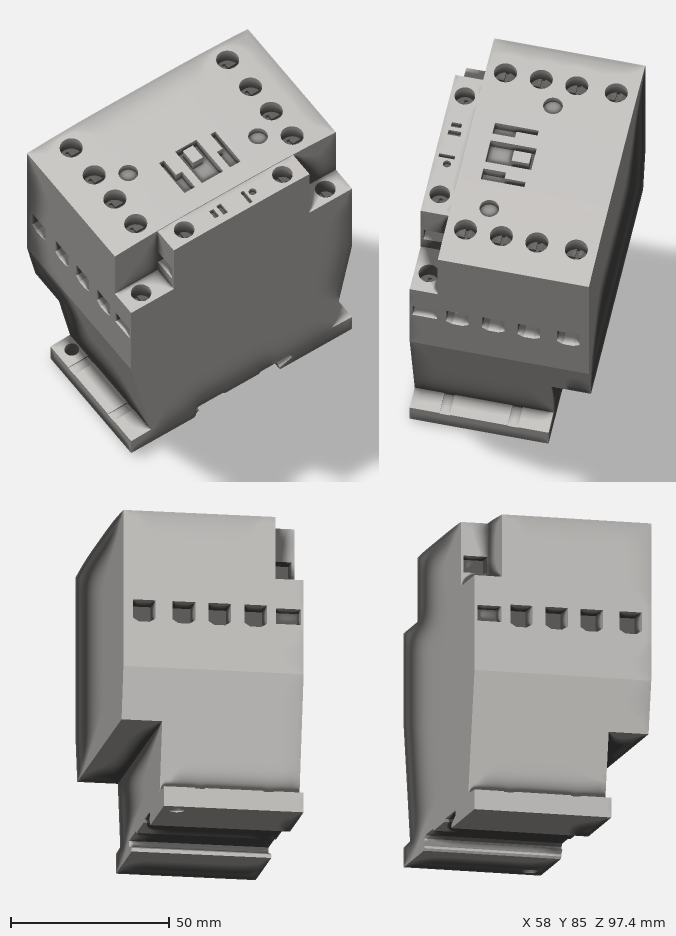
import cadquery as cq
import math


width = 58.0
length = 85.0
half_length = length / 2
height = 97.4
main_width = 48.9
roof_flat_half = 12.6
roof_drop = 1.2
aux_roof_z = height - 0.3

taper_top_z = 45.2
taper_foot_y = 35.0
flange_edge_z = 6.4
flange_root_z = 6.7
overhang_x = 13.1
overhang_z = 28.5

rail_slot_z = 4.7
rail_rear_y = 19.4
rail_hook_z = 2.9
rail_lip_y = 14.7
rail_lip_z = 1.2
rail_pad_root_half = 7.4
rail_pad_half = 6.5
rail_pad_z = 3.9
latch_corner_y = -16.3
latch_corner_z = 3.8
latch_wall_y = -17.6
latch_tooth_top_z = 3.2
latch_tooth_y = -16.4
latch_tooth_z = 2.7
latch_tooth_bottom_z = 1.5
latch_mouth_z = 0.7
latch_mouth_y = -18.3

aux_block_half = 26.1
shelf_z = 76.0
aux_screw_x = 53.3
aux_screw_d = 6.5
aux_screw_y = 18.9
shelf_screw_y = 35.5

pole_xs = (6.7, 19.5, 31.0, 42.6)
pole_screw_y = 30.1
pole_screw_d = 7.3
terminal_width = 7.3
terminal_top_z = 67.1
terminal_shoulder_z = 61.2
terminal_floor_z = 60.0
terminal_floor_width = 3.5
terminal_depth = 8.8

aux_terminal_x = 53.1
aux_terminal_width = 7.9
aux_terminal_depth = 5.8
block_terminal_zs = (80.55, 86.0)
shelf_terminal_zs = (61.3, 66.3)

screw_depth = 5.8
drive_depth = 1.0
drive_width = 1.1
pole_drive_arm = 5.2
aux_drive_arm = 4.2

dimple_d = 6.2
dimple_depth = 2.6
dimple_y = 20.9
dimple_rear_x = 36.8
dimple_front_x = 25.2
window_depth = 3.5
window_left_x = 26.9
window_right_x = 41.8
window_half = 4.1
button_xs = (28.05, 33.7)
button_half = 1.9
hook_left_x = 27.7
hook_step_x = 34.5
hook_inner_y = 6.7
hook_step_y = 9.0
hook_outer_y = 10.8

aux_mark_depth = 1.9
coil_hole_x = 53.5
coil_hole_y = 7.3
coil_hole_d = 2.5
aux_slots = (
    (51.5, 56.7, 3.9, 5.2),
    (51.5, 55.6, -5.4, -3.6),
    (51.9, 55.2, -8.4, -6.7),
)

groove_xs = (24.6, 46.7)
groove_width = 3.3
groove_floor_z = 6.1
mounting_hole_d = 4.7
mounting_hole_x = 18.0
mounting_hole_y = -37.7


def box(x0, x1, y0, y1, z0, z1):
    return cq.Workplane("XY").box(x1 - x0, y1 - y0, z1 - z0, centered=False).translate((x0, y0, z0))


def housing_section(roof_z, x0, x1):
    """Solid with the full side outline of the housing, over one span of X."""
    eave_z = roof_z - roof_drop
    roof_run = half_length - roof_flat_half
    roof_radius = (roof_run**2 + roof_drop**2) / (2 * roof_drop)
    half_angle = math.asin(roof_run / roof_radius) / 2
    front_roof_middle = (
        -roof_flat_half - roof_radius * math.sin(half_angle),
        roof_z - roof_radius * (1 - math.cos(half_angle)),
    )
    outline = (
        cq.Workplane("YZ", origin=(x0, 0, 0))
        .moveTo(-roof_flat_half, roof_z)
        .lineTo(roof_flat_half, roof_z)
        .tangentArcPoint((half_length, eave_z), relative=False)
        .lineTo(half_length, taper_top_z)
        .lineTo(taper_foot_y, flange_root_z)
        .lineTo(half_length, flange_edge_z)
        .lineTo(half_length, 0)
        .lineTo(-half_length, 0)
        .lineTo(-half_length, flange_edge_z)
        .lineTo(-taper_foot_y, flange_root_z)
        .lineTo(-half_length, taper_top_z)
        .lineTo(-half_length, eave_z)
        .threePointArc(front_roof_middle, (-roof_flat_half, roof_z))
        .close()
    )
    return outline.extrude(x1 - x0)


def rail_slot():
    """Slot for the mounting rail: a fixed hook at the rear and a latch at the front."""
    return (
        cq.Workplane("YZ")
        .moveTo(rail_lip_y, 0)
        .lineTo(rail_lip_y, rail_lip_z)
        .lineTo(rail_rear_y, rail_hook_z)
        .lineTo(rail_rear_y, rail_slot_z)
        .lineTo(rail_pad_root_half, rail_slot_z)
        .lineTo(rail_pad_half, rail_pad_z)
        .lineTo(-rail_pad_half, rail_pad_z)
        .lineTo(-rail_pad_root_half, rail_slot_z)
        .lineTo(latch_corner_y, rail_slot_z)
        .lineTo(latch_wall_y, latch_corner_z)
        .lineTo(latch_wall_y, latch_tooth_top_z)
        .lineTo(latch_tooth_y, latch_tooth_z)
        .lineTo(latch_wall_y, latch_tooth_bottom_z)
        .lineTo(latch_wall_y, latch_mouth_z)
        .lineTo(latch_mouth_y, 0)
        .close()
        .extrude(width)
    )


def housing():
    main = housing_section(height, 0, main_width)
    auxiliary = housing_section(aux_roof_z, main_width, width)
    body = main.union(auxiliary)
    body = body.cut(box(0, overhang_x, -half_length, half_length, 0, overhang_z))
    body = body.cut(rail_slot())
    for y0, y1 in ((-half_length, -aux_block_half), (aux_block_half, half_length)):
        body = body.cut(box(main_width, width, y0, y1, shelf_z, height))
    return body


def screw_well(x, y, roof_z, diameter, arm_x, arm_y):
    """Round well with a cross recess in the screw head at its floor."""
    head_z = roof_z - screw_depth
    drive_z = head_z - drive_depth
    well = cq.Workplane("XY", origin=(x, y, head_z)).circle(diameter / 2).extrude(height - head_z)
    drive_plane = cq.Workplane("XY", origin=(x, y, drive_z))
    bar_x = drive_plane.rect(arm_x, drive_width).extrude(drive_depth)
    bar_y = drive_plane.rect(drive_width, arm_y).extrude(drive_depth)
    head = drive_plane.circle(diameter / 2).extrude(drive_depth)
    return well.union(bar_x.union(bar_y).intersect(head))


def pole_screw(x, y):
    """The long bar of the cross runs along Y and spans the whole head."""
    return screw_well(x, y, height, pole_screw_d, pole_drive_arm, pole_screw_d)


def aux_screw(y, roof_z):
    """The long bar of the cross runs along X and spans the whole head."""
    return screw_well(aux_screw_x, y, roof_z, aux_screw_d, aux_screw_d, aux_drive_arm)


def pole_terminal(x):
    """Wire entry in the front wall, with a bevelled floor."""
    half = terminal_width / 2
    floor_half = terminal_floor_width / 2
    return (
        cq.Workplane("XZ", origin=(x, -half_length, 0))
        .moveTo(-half, terminal_top_z)
        .lineTo(half, terminal_top_z)
        .lineTo(half, terminal_shoulder_z)
        .lineTo(floor_half, terminal_floor_z)
        .lineTo(-floor_half, terminal_floor_z)
        .lineTo(-half, terminal_shoulder_z)
        .close()
        .extrude(-terminal_depth)
    )


def aux_terminal(wall_y, z_span):
    """Rectangular wire entry in a wall that faces -Y."""
    half = aux_terminal_width / 2
    return box(
        aux_terminal_x - half, aux_terminal_x + half,
        wall_y, wall_y + aux_terminal_depth,
        *z_span,
    )


def both_ends(tool):
    """The tool together with its mirror image at the other end of the housing."""
    return tool.union(tool.mirror("XZ"))


def roof_dimple(x, y):
    floor_z = height - dimple_depth
    return cq.Workplane("XY", origin=(x, y, floor_z)).circle(dimple_d / 2).extrude(dimple_depth)


def latch_window():
    """Rectangular recess that leaves a button standing flush with the roof."""
    floor_z = height - window_depth
    window = box(window_left_x, window_right_x, -window_half, window_half, floor_z, height)
    button = box(*button_xs, -button_half, button_half, floor_z, height)
    return window.cut(button)


def latch_hook():
    """Stepped recess beside the window, wider on its right."""
    return (
        cq.Workplane("XY", origin=(0, 0, height - window_depth))
        .moveTo(hook_left_x, hook_outer_y)
        .lineTo(window_right_x, hook_outer_y)
        .lineTo(window_right_x, hook_inner_y)
        .lineTo(hook_step_x, hook_inner_y)
        .lineTo(hook_step_x, hook_step_y)
        .lineTo(hook_left_x, hook_step_y)
        .close()
        .extrude(window_depth)
    )


def aux_marks():
    """Round coil hole and three small rectangular recesses in the auxiliary roof."""
    floor_z = aux_roof_z - aux_mark_depth
    marks = (
        cq.Workplane("XY", origin=(coil_hole_x, coil_hole_y, floor_z))
        .circle(coil_hole_d / 2)
        .extrude(aux_mark_depth)
    )
    for slot in aux_slots:
        marks = marks.union(box(*slot, floor_z, aux_roof_z))
    return marks


def flange_groove(x):
    """Shallow groove across the front flange, from its outer edge to the foot."""
    half = groove_width / 2
    return box(
        x - half, x + half,
        -half_length, -taper_foot_y,
        groove_floor_z, flange_root_z,
    )


def mounting_hole():
    return (
        cq.Workplane("XY", origin=(mounting_hole_x, mounting_hole_y, 0))
        .circle(mounting_hole_d / 2)
        .extrude(flange_root_z)
    )


result = housing()

for x in pole_xs:
    result = result.cut(both_ends(pole_screw(x, pole_screw_y)))
    result = result.cut(both_ends(pole_terminal(x)))

result = result.cut(both_ends(aux_screw(aux_screw_y, aux_roof_z)))
result = result.cut(both_ends(aux_screw(shelf_screw_y, shelf_z)))

result = result.cut(both_ends(aux_terminal(-aux_block_half, block_terminal_zs)))
result = result.cut(both_ends(aux_terminal(-half_length, shelf_terminal_zs)))

result = result.cut(roof_dimple(dimple_rear_x, dimple_y))
result = result.cut(roof_dimple(dimple_front_x, -dimple_y))
result = result.cut(latch_window())
result = result.cut(both_ends(latch_hook()))
result = result.cut(aux_marks())

for x in groove_xs:
    result = result.cut(both_ends(flange_groove(x)))
result = result.cut(mounting_hole())